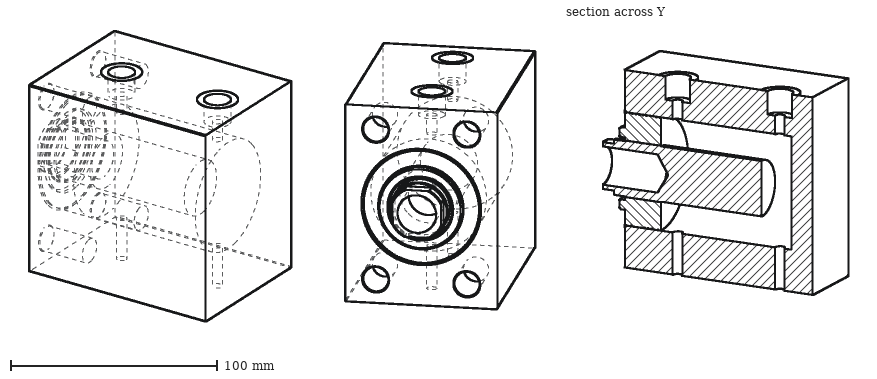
import cadquery as cq
import math


BLOCK_LENGTH = 103.0
BLOCK_WIDTH = 75.0
BLOCK_HEIGHT = 100.0
BLOCK_EDGE_CHAMFER = 0.5
BORE_RADIUS = 28.5
BORE_END_WALL = 12.0
BORE_MOUTH_CHAMFER = 1.0

BOLT_SPACING_Y = 45.0
BOLT_SPACING_Z = 76.0
BOLT_RADIUS = 6.2
BOLT_DEPTH = 25.3
BOLT_CHAMFER = 0.5

FRONT_PORT_X = 29.0
PORT_SPACING = 56.0
PORT_RADIUS = 6.5
PORT_DEPTH = 12.0
PORT_DRILL_RADIUS = 2.5
SPOTFACE_RADIUS = 10.0
SPOTFACE_DEPTH = 0.1

GLAND_DEPTH = 20.0
GLAND_BOSS_RADIUS = 20.9
GLAND_BOSS_LENGTH = 3.0
GLAND_BOSS_CHAMFER = 0.9
RECESS_RADIUS = 15.6
RECESS_DEPTH = 3.0
RECESS_STEP_RADIUS = 16.2
RECESS_STEP_DEPTH = 0.5

ROD_RADIUS = 14.1
ROD_CHAMFER = 0.5
ROD_PROTRUSION = 12.0
ROD_REAR_GAP = 10.0
NECK_RADIUS = 13.5
NECK_LENGTH = 6.0
NECK_CHAMFER = 0.3
FLATS_WIDTH = 23.9
ROD_HOLE_RADIUS = 9.5
ROD_HOLE_DEPTH = 29.9

DRILL_POINT_ANGLE = 118.0

rear_port_x = FRONT_PORT_X + PORT_SPACING
port_positions = [FRONT_PORT_X, rear_port_x]


def cylinder_x(radius, start_x, end_x):
    """Cylinder on the X axis from start_x to end_x."""
    return cq.Workplane("YZ", origin=(start_x, 0, 0)).circle(radius).extrude(end_x - start_x)


def cylinder_down(radius, x, depth):
    """Vertical cylinder cut tool that starts at the top face of the block."""
    top_plane = cq.Workplane("XY", origin=(x, 0, BLOCK_HEIGHT / 2))
    return top_plane.circle(radius).extrude(-depth)


def drilled_hole(radius, depth, mouth_chamfer=0.0):
    """Blind hole along +X from the origin, with a conical drill point and a chamfered mouth."""
    point_length = radius / math.tan(math.radians(DRILL_POINT_ANGLE / 2))
    profile = cq.Workplane("XY").lineTo(0, radius + mouth_chamfer)
    if mouth_chamfer:
        profile = profile.lineTo(mouth_chamfer, radius)
    profile = profile.lineTo(depth, radius).lineTo(depth + point_length, 0).close()
    return profile.revolve(360, (0, 0, 0), (1, 0, 0))


def make_block():
    block = cq.Workplane("XY").box(BLOCK_LENGTH, BLOCK_WIDTH, BLOCK_HEIGHT, centered=(False, True, True))
    block = block.edges("|X").chamfer(BLOCK_EDGE_CHAMFER)

    block = block.cut(cylinder_x(BORE_RADIUS, 0, BLOCK_LENGTH - BORE_END_WALL))
    block = block.faces("<X").edges("%CIRCLE").chamfer(BORE_MOUTH_CHAMFER)

    bolt_hole = drilled_hole(BOLT_RADIUS, BOLT_DEPTH, BOLT_CHAMFER)
    for side_y in (-1, 1):
        for side_z in (-1, 1):
            position = (0, side_y * BOLT_SPACING_Y / 2, side_z * BOLT_SPACING_Z / 2)
            block = block.cut(bolt_hole.translate(position))

    for x in port_positions:
        block = block.cut(cylinder_down(SPOTFACE_RADIUS, x, SPOTFACE_DEPTH))
        block = block.cut(cylinder_down(PORT_RADIUS, x, PORT_DEPTH))
        block = block.cut(cylinder_down(PORT_DRILL_RADIUS, x, BLOCK_HEIGHT))
    return block


def make_gland():
    plug = cylinder_x(BORE_RADIUS, 0, GLAND_DEPTH)
    boss = cylinder_x(GLAND_BOSS_RADIUS, -GLAND_BOSS_LENGTH, 0)
    boss = boss.faces("<X").edges().chamfer(GLAND_BOSS_CHAMFER)
    gland = plug.union(boss)

    face_x = -GLAND_BOSS_LENGTH
    gland = gland.cut(cylinder_x(ROD_RADIUS, face_x, GLAND_DEPTH))

    gland = gland.cut(cylinder_x(RECESS_RADIUS, face_x, face_x + RECESS_DEPTH))
    return gland.cut(cylinder_x(RECESS_STEP_RADIUS, face_x, face_x + RECESS_STEP_DEPTH))


def make_rod():
    tip_x = -ROD_PROTRUSION
    shoulder_x = tip_x + NECK_LENGTH
    shaft = cylinder_x(ROD_RADIUS, shoulder_x, rear_port_x - ROD_REAR_GAP)
    shaft = shaft.faces("<X").edges().chamfer(ROD_CHAMFER)

    neck = cylinder_x(NECK_RADIUS, tip_x, shoulder_x).faces("<X").edges().chamfer(NECK_CHAMFER)
    square = cq.Workplane("YZ", origin=(tip_x, 0, 0)).rect(FLATS_WIDTH, FLATS_WIDTH).extrude(NECK_LENGTH)
    rod = shaft.union(neck.intersect(square))

    return rod.cut(drilled_hole(ROD_HOLE_RADIUS, ROD_HOLE_DEPTH).translate((tip_x, 0, 0)))


block = make_block()
gland = make_gland()
rod = make_rod()

result = cq.Compound.makeCompound([body.solids().val() for body in (block, gland, rod)])